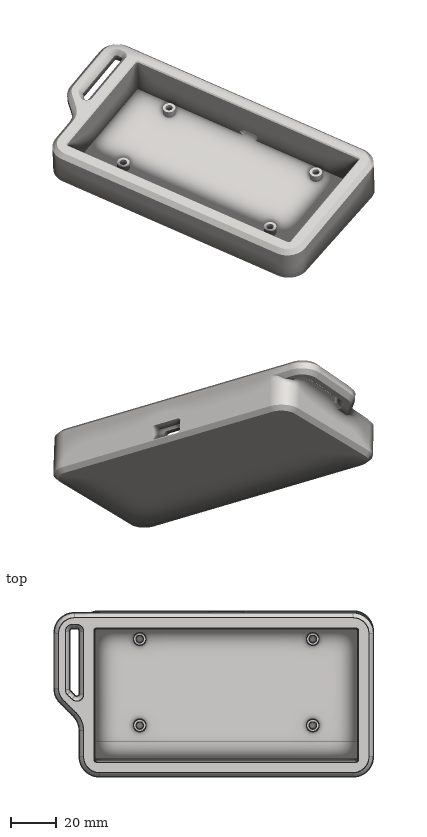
import cadquery as cq
import math

tilt_angle = 3.0
body_length = 129.3
body_width = 72.14
back_rim_height = 21.92
corner_radius = 9.0
edge_chamfer = 2.0

tab_overhang = 11.0
tab_thickness = 7.0
tab_straight_length = 37.0

strap_width = 4.0
strap_slot_margin = tab_overhang - strap_width
strap_slot_radius = 1.0

pocket_length = 115.3
pocket_width = 58.0
pocket_depth = 18.0
pocket_corner_radius = 0.8
pocket_rim_chamfer = 0.5
pocket_rim_angle = 45.0
minimum_floor = 1.05

standoff_spacing_x = 76.0
standoff_spacing_y = 38.0
standoff_center_y = 4.85
standoff_diameter = 5.5
standoff_bore = 3.2
standoff_height = 3.4

port_width = 9.2
port_height = 3.6
port_recess_width = 15.0
port_recess_height = 7.0
port_recess_corner = 1.5
port_wall = 2.5

tilt = math.radians(tilt_angle)
shoulder_angle = math.radians(45)
half_length = body_length / 2
half_width = body_width / 2
tab_end_x = -half_length - tab_overhang
rim_center_height = back_rim_height - (half_width - edge_chamfer) * math.sin(tilt)
shoulder_y = half_width - tab_straight_length
block_depth = 2 * back_rim_height
floor_level = -pocket_depth
port_center_level = floor_level + port_height / 2


def tilted(solid):
    """Move a solid from the flat frame to its place in the tilted part."""
    return solid.rotate((0, 0, 0), (1, 0, 0), tilt_angle).translate((0, 0, rim_center_height))


def space_above(height):
    """Level block, larger than the part, that fills the space above a height."""
    return (
        cq.Workplane("XY")
        .workplane(offset=height)
        .rect(2 * body_length, 2 * body_width)
        .extrude(block_depth)
    )


def make_block():
    """Rounded body below the rim plate, trimmed level and chamfered at the bottom."""
    straight = (
        cq.Workplane("XY")
        .workplane(offset=-edge_chamfer)
        .rect(body_length, body_width)
        .extrude(edge_chamfer - block_depth)
        .edges("|Z")
        .fillet(corner_radius)
    )
    return tilted(straight).intersect(space_above(0)).faces("<Z").chamfer(edge_chamfer)


def make_strap_slot():
    """Strap slot parallel to the tab outline, flared by the edge chamfer on both faces."""
    left = tab_end_x + strap_slot_margin
    right = left + strap_width
    top = half_width - strap_slot_margin
    diagonal_drop = strap_slot_margin * math.tan(shoulder_angle / 2)
    left_bottom = shoulder_y + diagonal_drop
    return (
        cq.Workplane("XY")
        .polyline([(left, top), (right, top), (right, left_bottom - strap_width), (left, left_bottom)])
        .close()
        .extrude(-tab_thickness)
        .edges("|Z")
        .fillet(strap_slot_radius)
    )


def make_rim_plate():
    """Plate with the body outline plus the strap tab, chamfered on every outer edge."""
    outline = [
        (tab_end_x, half_width),
        (half_length, half_width),
        (half_length, -half_width),
        (-half_length, -half_width),
        (-half_length, shoulder_y - tab_overhang),
        (tab_end_x, shoulder_y),
    ]
    plate = (
        cq.Workplane("XY")
        .polyline(outline)
        .close()
        .extrude(-tab_thickness)
        .edges("|Z")
        .fillet(corner_radius)
    )
    return tilted(plate.cut(make_strap_slot()).faces("|Z").chamfer(edge_chamfer))


def make_pocket():
    """Open pocket parallel to the rim, with a level floor where the base would get too thin."""
    pocket = (
        cq.Workplane("XY")
        .rect(pocket_length, pocket_width)
        .extrude(-pocket_depth)
        .edges("|Z")
        .fillet(pocket_corner_radius)
    )
    flare_outline = (
        cq.Sketch()
        .rect(pocket_length + 2 * pocket_rim_chamfer, pocket_width + 2 * pocket_rim_chamfer)
        .vertices()
        .fillet(pocket_corner_radius + pocket_rim_chamfer)
    )
    flare = cq.Workplane("XY").placeSketch(flare_outline).extrude(-pocket_rim_chamfer, taper=pocket_rim_angle)
    return tilted(pocket.union(flare)).intersect(space_above(minimum_floor))


def make_standoffs():
    """Four bored posts standing on the pocket floor."""
    return tilted(
        cq.Workplane("XY")
        .workplane(offset=floor_level)
        .center(0, standoff_center_y)
        .rarray(standoff_spacing_x, standoff_spacing_y, 2, 2)
        .circle(standoff_diameter / 2)
        .circle(standoff_bore / 2)
        .extrude(standoff_height)
    )


def make_port():
    """Round-ended opening through the back wall, with a wider recess on the outside."""
    inner_wall_y = pocket_width / 2
    wall_thickness = half_width - inner_wall_y
    wall_plane = cq.Workplane("XZ", origin=(0, inner_wall_y, port_center_level))
    opening = wall_plane.slot2D(port_width, port_height).extrude(-wall_thickness)
    recess = (
        wall_plane.workplane(offset=-port_wall)
        .rect(port_recess_width, port_recess_height)
        .extrude(port_wall - wall_thickness)
        .edges("|Y")
        .fillet(port_recess_corner)
    )
    return tilted(opening.union(recess))


result = (
    make_block()
    .union(make_rim_plate())
    .cut(make_pocket())
    .cut(make_port())
    .union(make_standoffs())
)